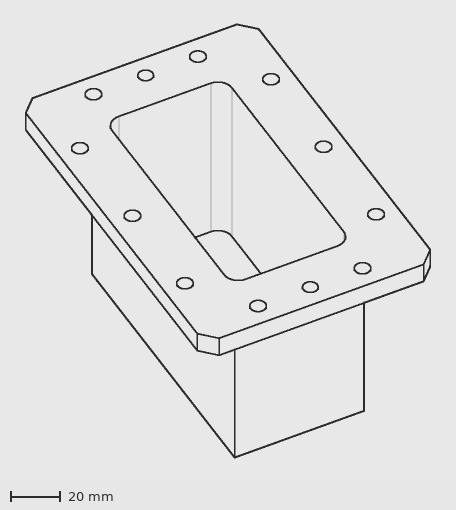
import cadquery as cq
import math

flange_length = 161.04
flange_width = 106.43
flange_thickness = 9.4
flange_corner = 6.5

total_height = 88.9
body_length = 123.2
body_width = 59.2
cavity_length = 109.22
cavity_width = 54.61
cavity_radius = 6.35
floor_thickness = (body_length - cavity_length) / 2

bolt_diameter = 6.71
dowel_diameter = 6.35
long_row_y = 43.66
long_row_pitch = 45.3
short_row_x = 71.0
short_row_pitch = 23.86

overall_width = 110.74
connector_z = -41.9
connector_tip_y = overall_width - flange_width / 2
wall_y = body_width / 2
neck_diameter = 6.81
barrel_diameter = 10.92
groove_diameter = 10.41
nut_end_diameter = 13.46
knurl_diameter = 15.8

nut_front_land = 1.6
nut_taper = 1.0
knurl_length = 4.0
nut_rear_land = 1.0
nut_rear_taper = 0.8
groove_start = 18.2
groove_width = 0.6
barrel_end = 20.9
barrel_chamfer = 0.6

knurl_count = 40
knurl_depth = 0.45
knurl_ring_pitch = 1.0
knurl_ring_count = 5

plate_size = 12.7
plate_thickness = 1.65
plate_corner_radius = 1.3
screw_spacing = 8.64
screw_head_diameter = 4.17
screw_head_height = 1.1
screw_head_radius = 0.8


def make_flange():
    flange = cq.Workplane("XY").box(
        flange_length, flange_width, flange_thickness, centered=(True, True, False)
    )
    return flange.edges("|Z").chamfer(flange_corner).translate((0, 0, -flange_thickness))


def make_body():
    body = cq.Workplane("XY").box(body_length, body_width, total_height, centered=(True, True, False))
    return body.translate((0, 0, -total_height))


def make_cavity():
    depth = total_height - floor_thickness
    cavity = cq.Workplane("XY").rect(cavity_length, cavity_width).extrude(-depth)
    return cavity.edges("|Z").fillet(cavity_radius)


def make_flange_holes():
    bolts = []
    dowels = []
    for side in (-1, 1):
        dowels.append((side * short_row_x, 0))
        for step in (-1, 0, 1):
            bolts.append((step * long_row_pitch, side * long_row_y))
        for step in (-1, 1):
            bolts.append((side * short_row_x, step * short_row_pitch))
    bolt_holes = cq.Workplane("XY").pushPoints(bolts).circle(bolt_diameter / 2).extrude(-flange_thickness)
    dowel_holes = cq.Workplane("XY").pushPoints(dowels).circle(dowel_diameter / 2).extrude(-flange_thickness)
    return bolt_holes.union(dowel_holes)


def make_connector_blank():
    """Turned connector: coupling nut, grooved barrel and neck, built along its axis from the tip."""
    knurl_start = nut_front_land + nut_taper
    knurl_end = knurl_start + knurl_length
    rear_land_start = knurl_end + nut_taper
    rear_land_end = rear_land_start + nut_rear_land
    nut_end = rear_land_end + nut_rear_taper
    length = connector_tip_y - wall_y
    neck = neck_diameter / 2
    barrel = barrel_diameter / 2
    groove = groove_diameter / 2
    nut_end_radius = nut_end_diameter / 2
    knurl = knurl_diameter / 2
    profile = [
        (0, 0),
        (nut_end_radius, 0),
        (nut_end_radius, nut_front_land),
        (knurl, knurl_start),
        (knurl, knurl_end),
        (nut_end_radius, rear_land_start),
        (nut_end_radius, rear_land_end),
        (barrel, nut_end),
        (barrel, groove_start),
        (groove, groove_start),
        (groove, groove_start + groove_width),
        (barrel, groove_start + groove_width),
        (barrel, barrel_end - barrel_chamfer),
        (barrel - barrel_chamfer, barrel_end),
        (neck, barrel_end),
        (neck, length),
        (0, length),
    ]
    return cq.Workplane("XY").polyline(profile).close().revolve(360, (0, 0), (0, 1))


def make_knurl_grooves():
    """V grooves along the nut, one pitch wide at its rim."""
    pitch = math.pi * knurl_diameter / knurl_count
    groove_length = knurl_length + 2 * nut_taper
    rim = knurl_diameter / 2
    groove = (
        cq.Workplane("XZ")
        .polyline([(rim - knurl_depth, 0), (rim + knurl_depth, -pitch), (rim + knurl_depth, pitch)])
        .close()
        .extrude(-groove_length)
        .translate((0, nut_front_land, 0))
    )
    grooves = []
    for index in range(knurl_count):
        turned = groove.rotate((0, 0, 0), (0, 1, 0), index * 360 / knurl_count)
        grooves.append(turned.val())
    return grooves


def make_knurl_rings():
    """V grooves around the nut, one ring pitch wide at its rim, evenly spaced about the middle of the knurl."""
    rim = knurl_diameter / 2
    middle = nut_front_land + nut_taper + knurl_length / 2
    rings = []
    for index in range(knurl_ring_count):
        station = middle + (index - (knurl_ring_count - 1) / 2) * knurl_ring_pitch
        ring = (
            cq.Workplane("XY")
            .polyline(
                [
                    (rim - knurl_depth, station),
                    (rim + knurl_depth, station - knurl_ring_pitch),
                    (rim + knurl_depth, station + knurl_ring_pitch),
                ]
            )
            .close()
            .revolve(360, (0, 0), (0, 1))
        )
        rings.append(ring.val())
    return rings


def make_mounting_plate():
    """Square plate against the wall, with a rounded screw head near each corner."""
    plate = cq.Workplane("XZ").rect(plate_size, plate_size).extrude(-plate_thickness)
    plate = plate.edges("|Y").fillet(plate_corner_radius)
    heads = (
        cq.Workplane("XZ", origin=(0, plate_thickness, 0))
        .rect(screw_spacing, screw_spacing, forConstruction=True)
        .vertices()
        .circle(screw_head_diameter / 2)
        .extrude(-screw_head_height)
        .faces(">Y")
        .edges()
        .fillet(screw_head_radius)
    )
    return plate.union(heads).translate((0, wall_y, connector_z))


def make_connector():
    """Connector blank with its knurl cut, turned to point along +Y and placed on its plate."""
    blank = make_connector_blank().val()
    knurled = blank.cut(*make_knurl_grooves(), *make_knurl_rings())
    connector = cq.Workplane(knurled).rotate((0, 0, 0), (0, 0, 1), 180)
    connector = connector.translate((0, connector_tip_y, connector_z))
    return connector.union(make_mounting_plate())


housing = make_flange().union(make_body()).cut(make_cavity()).cut(make_flange_holes())
result = housing.union(make_connector())